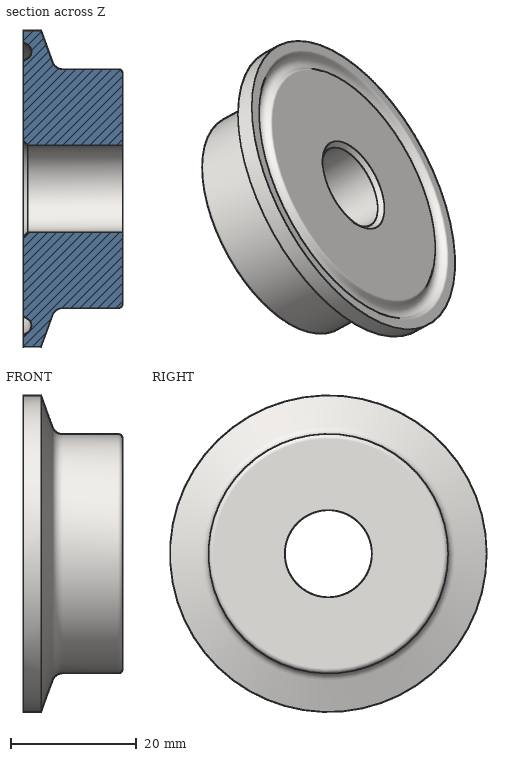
import cadquery as cq
import math


length = 15.85
flange_diameter = 50.4
neck_diameter = 38.1

rim_thickness = 2.85
clamp_angle = math.radians(20.0)
root_radius = 1.6
end_radius = 0.75

bore_diameter = 13.8
bore_chamfer = 0.75

groove_radius = 21.8
groove_half_width = 1.7
groove_bottom_radius = 1.25
groove_lip_radius = 0.4
groove_wall_angle = math.radians(30.0)

flange_radius = flange_diameter / 2
neck_radius = neck_diameter / 2
bore_radius = bore_diameter / 2


def revolve_about_x(profile):
    """Turn a closed profile, drawn as (axial, radial) points, fully around the X axis."""
    return profile.close().revolve(360, (0, 0, 0), (1, 0, 0))


def make_body():
    """Solid flange and neck, with a tangent fillet at the root and a rounded neck end."""
    cone_length = (flange_radius - neck_radius) * math.tan(clamp_angle)
    root_turn = math.pi / 2 - clamp_angle
    root_tangent = root_radius * math.tan(root_turn / 2)

    corner_x = rim_thickness + cone_length
    cone_end = (
        corner_x - root_tangent * math.sin(clamp_angle),
        neck_radius + root_tangent * math.cos(clamp_angle),
    )
    neck_start = (corner_x + root_tangent, neck_radius)
    root_center = (neck_start[0], neck_radius + root_radius)
    mid_angle = root_turn / 2
    root_middle = (
        root_center[0] - root_radius * math.sin(mid_angle),
        root_center[1] - root_radius * math.cos(mid_angle),
    )

    profile = (
        cq.Workplane("XY")
        .lineTo(0, flange_radius)
        .lineTo(rim_thickness, flange_radius)
        .lineTo(*cone_end)
        .threePointArc(root_middle, neck_start)
        .lineTo(length - end_radius, neck_radius)
        .radiusArc((length, neck_radius - end_radius), end_radius)
        .lineTo(length, 0)
    )
    return revolve_about_x(profile)


def make_bore():
    """Through bore with a 45 degree chamfer at the gasket face."""
    profile = (
        cq.Workplane("XY")
        .lineTo(0, bore_radius + bore_chamfer)
        .lineTo(bore_chamfer, bore_radius)
        .lineTo(length, bore_radius)
        .lineTo(length, 0)
    )
    return revolve_about_x(profile)


def make_gasket_groove():
    """Ring groove whose walls run tangent into the lip rounds and the round bottom."""
    sine = math.sin(groove_wall_angle)
    cosine = math.cos(groove_wall_angle)

    wall_top_depth = groove_lip_radius * (1 - sine)
    wall_top_half = groove_half_width - groove_lip_radius * cosine
    wall_foot_half = groove_bottom_radius * cosine
    wall_foot_depth = wall_top_depth + (wall_top_half - wall_foot_half) / math.tan(groove_wall_angle)
    groove_depth = wall_foot_depth + groove_bottom_radius * (1 - sine)

    outer_edge = groove_radius + groove_half_width
    inner_edge = groove_radius - groove_half_width
    profile = (
        cq.Workplane("XY")
        .moveTo(0, outer_edge)
        .radiusArc((wall_top_depth, groove_radius + wall_top_half), -groove_lip_radius)
        .lineTo(wall_foot_depth, groove_radius + wall_foot_half)
        .threePointArc(
            (groove_depth, groove_radius),
            (wall_foot_depth, groove_radius - wall_foot_half),
        )
        .lineTo(wall_top_depth, groove_radius - wall_top_half)
        .radiusArc((0, inner_edge), -groove_lip_radius)
    )
    return revolve_about_x(profile)


result = make_body().cut(make_bore()).cut(make_gasket_groove())